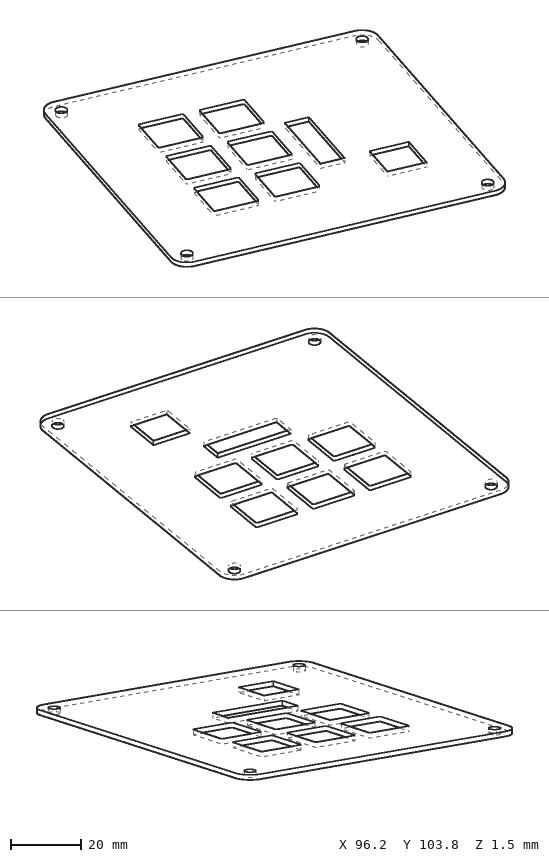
import cadquery as cq

plate_width = 96.2
plate_depth = 103.79
plate_thickness = 1.5
corner_radius = 5.0

mount_hole_diameter = 3.4
mount_spacing_x = plate_width - 2 * corner_radius
mount_spacing_y = plate_depth - 2 * corner_radius

key_columns = 3
key_rows = 2
key_pitch = 19.05
key_opening_size = 14.0
key_corner_radius = 0.5
key_grid_center = (-0.8, -13.8)

window_width = 24.5
window_height = 7.5
window_center = (1.8, 11.7)

square_opening_size = 12.2
square_opening_center = (19.7, 29.6)


def make_plate():
    """Flat plate with rounded vertical corners."""
    return (
        cq.Workplane("XY")
        .rect(plate_width, plate_depth)
        .extrude(plate_thickness)
        .edges("|Z")
        .fillet(corner_radius)
    )


def make_mount_holes():
    """Cylinders that cut the four corner holes."""
    return (
        cq.Workplane("XY")
        .rect(mount_spacing_x, mount_spacing_y, forConstruction=True)
        .vertices()
        .circle(mount_hole_diameter / 2)
        .extrude(plate_thickness)
    )


def make_key_openings():
    """Blocks with rounded corners that cut the grid of key openings."""
    return (
        cq.Workplane("XY")
        .center(*key_grid_center)
        .rarray(key_pitch, key_pitch, key_columns, key_rows)
        .rect(key_opening_size, key_opening_size)
        .extrude(plate_thickness)
        .edges("|Z")
        .fillet(key_corner_radius)
    )


def make_rectangular_opening(center, width, height):
    """Sharp-cornered block that cuts one through opening."""
    return (
        cq.Workplane("XY")
        .center(*center)
        .rect(width, height)
        .extrude(plate_thickness)
    )


result = (
    make_plate()
    .cut(make_mount_holes())
    .cut(make_key_openings())
    .cut(make_rectangular_opening(window_center, window_width, window_height))
    .cut(make_rectangular_opening(square_opening_center, square_opening_size, square_opening_size))
)